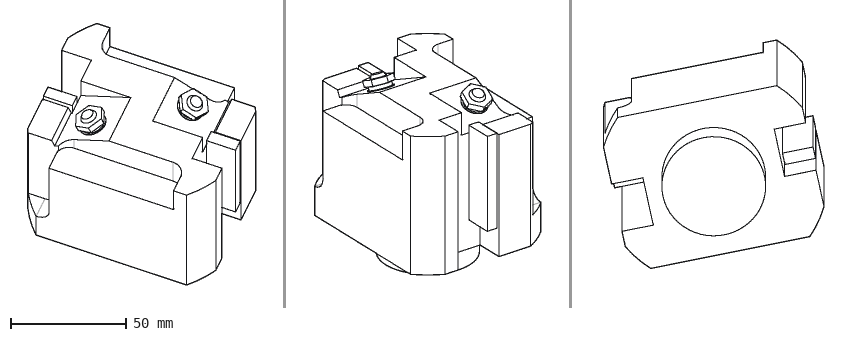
import cadquery as cq
import math

length = 88.0
width = 70.0
height = 67.1
corner_radius = 49.6
spigot_diameter = 45.0
spigot_height = 13.5

notch_floor_x = -30.1
notch_front_y = -6.0
notch_back_y = 15.9

pocket_side_x = 29.1
pocket_radius = 6.0
recess_depth = 14.0
recess_floor_z = 53.15
slot_depth = 10.0
slot_floor_z = 14.2

land_z = 59.2
groove_x = -30.5
groove_z = 56.1
seat_angle = 25.0
seat_back_y = 4.0

plate_end_x = -30.45
plate_thickness = 5.3
plate_gap = 1.0
plate_top_z = 60.2
pin_x = -37.05
middle_pin_diameter = 5.0
outer_pin_diameter = 7.2
outer_pin_tip_diameter = 5.0
pin_middle_z = 37.2
pin_pitch = 15.0

screw_x = -17.8
screw_y = -12.1
flange_diameter = 12.1
flange_height = 0.3
collar_diameter = 10.6
collar_height = 2.1
nut_flats = 12.1
nut_height = 3.0
screw_diameter = 7.4
screw_tip_diameter = 5.5
screw_tip_height = 1.6
front_nut_turn = -7.0
back_nut_turn = 0.0

seat_slope = math.tan(math.radians(seat_angle))
left_x = -length / 2
front_y = -width / 2
slot_back_y = front_y + slot_depth


def box(x_range, y_range, z_range):
    """Box between two limits on each axis."""
    sizes = [high - low for low, high in (x_range, y_range, z_range)]
    corner = (x_range[0], y_range[0], z_range[0])
    return cq.Workplane("XY").box(*sizes, centered=False).translate(corner)


def half_turn(shape):
    """Copy at the opposite side of the Z axis."""
    return shape.rotate((0, 0, 0), (0, 0, 1), 180)


def make_body():
    block = cq.Workplane("XY").rect(length, width).extrude(height)
    round_bar = cq.Workplane("XY").circle(corner_radius).extrude(height)
    spigot = cq.Workplane("XY").circle(spigot_diameter / 2).extrude(-spigot_height)
    return block.intersect(round_bar).union(spigot)


def make_notch():
    return box((left_x, notch_floor_x), (notch_front_y, notch_back_y), (0, height))


def make_recess():
    recess = box(
        (-pocket_side_x, pocket_side_x),
        (front_y, front_y + recess_depth),
        (recess_floor_z, height),
    )
    recess = recess.edges("|Z and >Y").fillet(pocket_radius)
    corner_relief = box(
        (-pocket_side_x, -pocket_side_x + pocket_radius),
        (front_y, slot_back_y),
        (recess_floor_z, height),
    )
    return recess.union(corner_relief)


def make_slot():
    slot = box((left_x, -pocket_side_x), (front_y, slot_back_y), (slot_floor_z, height))
    return slot.edges("|Y and >X and <Z").fillet(pocket_radius)


def make_seat():
    """Cut above the land, the V groove and the sloping seat."""
    groove_edge_x = groove_x - (land_z - groove_z) * seat_slope
    seat_top_x = groove_x + (height - groove_z) / seat_slope
    outline = [
        (left_x, height),
        (left_x, land_z),
        (groove_edge_x, land_z),
        (groove_x, groove_z),
        (seat_top_x, height),
    ]
    seat = cq.Workplane("XZ", origin=(0, seat_back_y, 0)).polyline(outline).close()
    return seat.extrude(seat_back_y - slot_back_y)


def make_plate():
    """Insert plate standing off the notch wall on three pins."""
    plate_front_y = notch_front_y + plate_gap
    plate = box(
        (left_x, plate_end_x),
        (plate_front_y, plate_front_y + plate_thickness),
        (slot_floor_z, plate_top_z),
    )

    def pin(z, base_diameter, tip_diameter):
        base = cq.Workplane("XZ", origin=(pin_x, notch_front_y, z)).circle(base_diameter / 2)
        return base.workplane(offset=-plate_gap).circle(tip_diameter / 2).loft()

    plate = plate.union(pin(pin_middle_z, middle_pin_diameter, middle_pin_diameter))
    for z in (pin_middle_z - pin_pitch, pin_middle_z + pin_pitch):
        plate = plate.union(pin(z, outer_pin_diameter, outer_pin_tip_diameter))
    return plate


def make_clamp_screw(nut_turn):
    """Screw square to the sloping seat, with the nut turned about its axis."""
    nut_corners = nut_flats / math.cos(math.radians(30))
    nut_top = collar_height + nut_height
    flange = cq.Workplane("XY").circle(flange_diameter / 2).extrude(flange_height)
    collar = cq.Workplane("XY").circle(collar_diameter / 2).extrude(collar_height)
    nut = cq.Workplane("XY", origin=(0, 0, collar_height)).polygon(6, nut_corners).extrude(nut_height)
    nut = nut.rotate((0, 0, 0), (0, 0, 1), nut_turn)
    tip = cq.Workplane("XY", origin=(0, 0, nut_top)).circle(screw_diameter / 2)
    tip = tip.workplane(offset=screw_tip_height).circle(screw_tip_diameter / 2).loft()
    screw = flange.union(collar).union(nut).union(tip)
    seat_z = groove_z + (screw_x - groove_x) * seat_slope
    return screw.rotate((0, 0, 0), (0, 1, 0), -seat_angle).translate((screw_x, screw_y, seat_z))


result = make_body()
for cutter in (make_notch(), make_recess(), make_slot(), make_seat()):
    result = result.cut(cutter).cut(half_turn(cutter))

plate = make_plate()
result = result.union(plate).union(half_turn(plate))
result = result.union(make_clamp_screw(front_nut_turn))
result = result.union(half_turn(make_clamp_screw(back_nut_turn)))